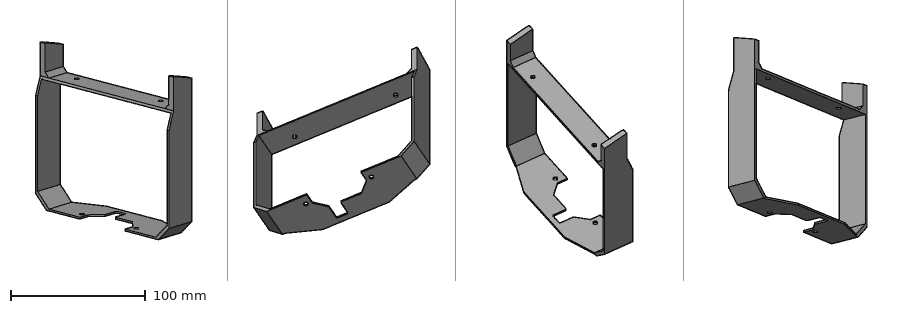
import cadquery as cq

width = 135.0
height = 127.0
frame_depth = 25.0
wall = 2.0
floor_thickness = 1.5
half_width = width / 2
outer_corner = 11.0
inner_corner = 11.5

crossbar_top = 101.0
setback = 5.0
setback_bottom = 87.1
post_width = 5.0
post_top_flat = 1.8
post_top_drop = 5.0
gusset = 3.9

tab_end = 35.0
tab_base_half = 54.5
tab_end_half = 28.1

recess_half = 22.8
recess_depth = 18.0
recess_chamfer = 9.0
slot_width = 9.7
slot_end = 30.2
slot_radius = 1.0
slot_left = recess_chamfer - recess_half
slot_right = slot_left + slot_width

hole_diameter = 3.4
crossbar_hole_half_spacing = 42.5
crossbar_hole_y = 18.0
floor_hole_half_spacing = 27.5
floor_hole_y = 7.5


def extrude_along_y(points):
    """Extrude an XZ outline from the front face to the back of the frame."""
    return cq.Workplane("XZ").polyline(points).close().extrude(-frame_depth)


def mirrored(points):
    """Complete a right-half outline with its reflection about X = 0."""
    return points + [(-x, v) for x, v in reversed(points)]


def make_frame():
    post_inner = half_width - post_width
    outer = extrude_along_y(mirrored([
        (half_width - outer_corner, 0),
        (half_width, outer_corner),
        (half_width, height),
        (post_inner, height),
        (post_inner, crossbar_top + gusset),
        (post_inner - gusset, crossbar_top),
    ]))
    inner_half = half_width - wall
    opening = extrude_along_y(mirrored([
        (inner_half - inner_corner, floor_thickness),
        (inner_half, floor_thickness + inner_corner),
        (inner_half, crossbar_top - wall),
    ]))
    return outer.cut(opening)


def make_side_envelope():
    """Side outline that sets back the crossbar and slopes the post tops."""
    outline = [
        (0, 0),
        (frame_depth, 0),
        (frame_depth, height - post_top_drop),
        (setback + post_top_flat, height),
        (setback, height),
        (setback, crossbar_top),
        (0, setback_bottom),
    ]
    return cq.Workplane("YZ").polyline(outline).close().extrude(half_width, both=True)


def make_tab():
    outline = mirrored([(tab_base_half, frame_depth), (tab_end_half, tab_end)])
    return cq.Workplane("XY").polyline(outline).close().extrude(floor_thickness)


def make_floor_recess():
    """Chamfered front recess joined to a slot with two rounded inner corners."""
    recess_end_half = recess_half - recess_chamfer
    return (
        cq.Workplane("XY")
        .moveTo(-recess_half, 0)
        .lineTo(-recess_half, recess_depth - recess_chamfer)
        .lineTo(slot_left, recess_depth)
        .lineTo(slot_left, slot_end - slot_radius)
        .radiusArc((slot_left + slot_radius, slot_end), slot_radius)
        .lineTo(slot_right - slot_radius, slot_end)
        .radiusArc((slot_right, slot_end - slot_radius), slot_radius)
        .lineTo(slot_right, recess_depth + slot_radius)
        .radiusArc((slot_right + slot_radius, recess_depth), -slot_radius)
        .lineTo(recess_end_half, recess_depth)
        .lineTo(recess_half, recess_depth - recess_chamfer)
        .lineTo(recess_half, 0)
        .close()
        .extrude(floor_thickness)
    )


def make_hole_pair(half_spacing, y, bottom, thickness):
    return (
        cq.Workplane("XY", origin=(0, 0, bottom))
        .pushPoints([(-half_spacing, y), (half_spacing, y)])
        .circle(hole_diameter / 2)
        .extrude(thickness)
    )


crossbar_holes = make_hole_pair(
    crossbar_hole_half_spacing, crossbar_hole_y, crossbar_top - wall, wall
)
floor_holes = make_hole_pair(floor_hole_half_spacing, floor_hole_y, 0, floor_thickness)

result = (
    make_frame()
    .intersect(make_side_envelope())
    .union(make_tab())
    .cut(make_floor_recess())
    .cut(crossbar_holes)
    .cut(floor_holes)
)